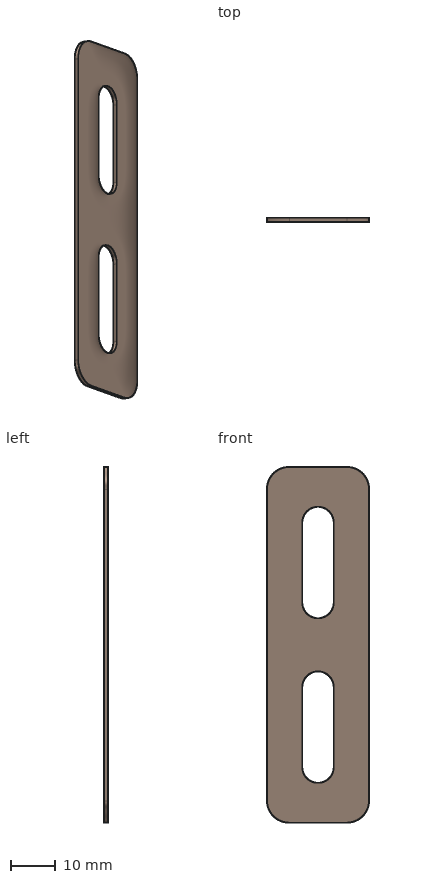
import cadquery as cq

plate_width = 23.0
plate_height = 80.0
plate_thickness = 1.0
corner_radius = 5.0

slot_width = 7.0
slot_length = 25.0
slot_gap = 12.0
slot_spacing = slot_length + slot_gap


def make_plate():
    """Flat plate centred on the origin, with rounded corners."""
    blank = cq.Workplane("XY").box(plate_width, plate_thickness, plate_height)
    return blank.edges("|Y").fillet(corner_radius)


def cut_slots(plate):
    """Cut both slots through the thickness, spaced evenly about the centre."""
    return (
        plate.faces("<Y")
        .workplane(origin=(0, 0, 0))
        .pushPoints([(0, -slot_spacing / 2), (0, slot_spacing / 2)])
        .slot2D(slot_length, slot_width, angle=90)
        .cutThruAll()
    )


result = cut_slots(make_plate())